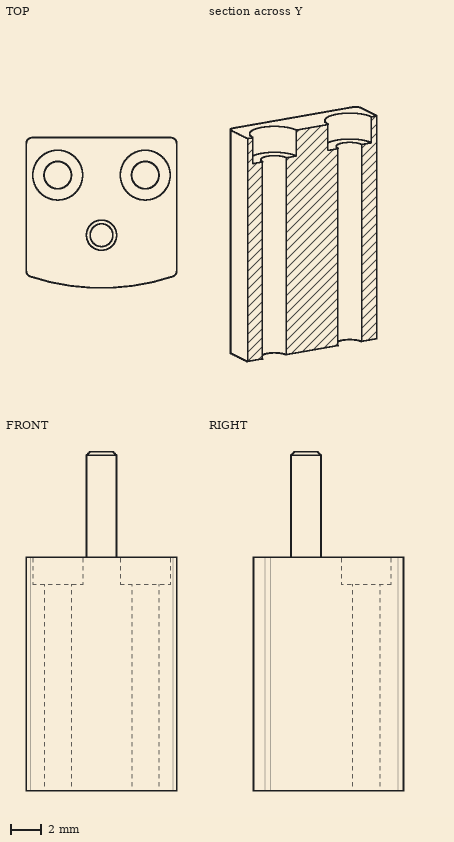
import cadquery as cq

width = 10.0
depth = 10.0
overall_height = 22.5
pin_exposed_length = 7.0
housing_height = overall_height - pin_exposed_length
bow_height = 0.85
corner_radius = 0.4

hole_offset_x = 2.9
hole_y = 2.5
hole_diameter = 1.8
counterbore_diameter = 3.3
counterbore_depth = 1.8

pin_diameter = 2.0
pin_y = -1.48
pin_chamfer = 0.25


def make_pin():
    """Round pin with a chamfered tip, standing on the top face of the housing."""
    return (
        cq.Workplane("XY", origin=(0, pin_y, housing_height))
        .circle(pin_diameter / 2)
        .extrude(pin_exposed_length)
        .faces(">Z")
        .chamfer(pin_chamfer)
    )


def make_block():
    """Rectangular block with a bowed -Y face and rounded upright edges."""
    half_width = width / 2
    back_y = depth / 2
    front_y = -depth / 2
    bow_end_y = front_y + bow_height
    return (
        cq.Workplane("XY")
        .moveTo(half_width, back_y)
        .lineTo(-half_width, back_y)
        .lineTo(-half_width, bow_end_y)
        .threePointArc((0, front_y), (half_width, bow_end_y))
        .close()
        .extrude(housing_height)
        .edges("|Z")
        .fillet(corner_radius)
    )


def make_housing():
    """Block with two counterbored through holes."""
    return (
        make_block()
        .faces(">Z")
        .workplane(origin=(0, 0, housing_height))
        .pushPoints([(-hole_offset_x, hole_y), (hole_offset_x, hole_y)])
        .cboreHole(hole_diameter, counterbore_diameter, counterbore_depth)
    )


housing = make_housing()
pin = make_pin()

result = cq.Compound.makeCompound([housing.val(), pin.val()])